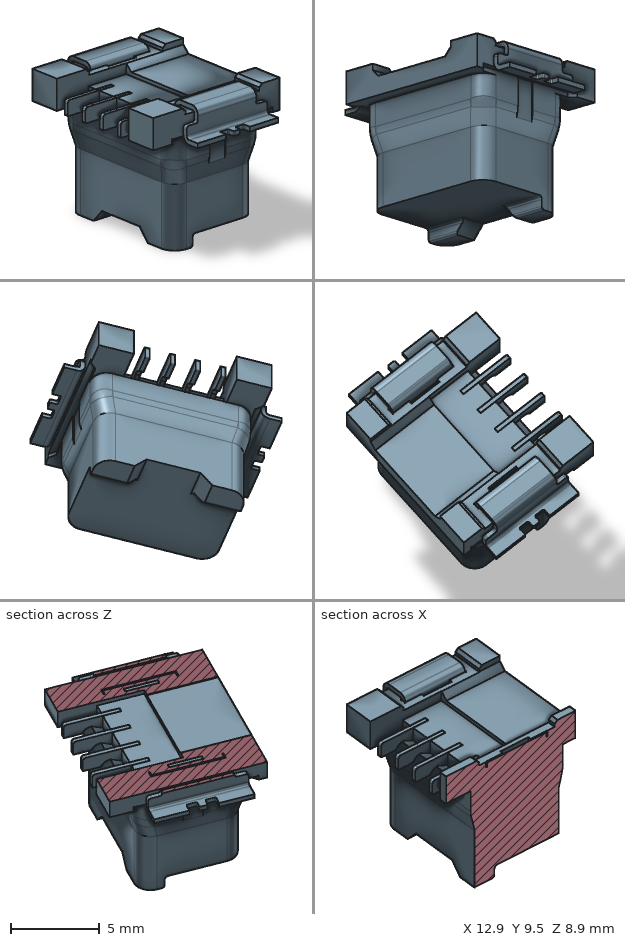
import cadquery as cq
import math


HOUSING_HALF_X = 5.13
HOUSING_FRONT_Y = -5.2
HOUSING_REAR_Y = 4.3
HOUSING_BOTTOM_Z = 0.05
HOUSING_TOP_Z = 2.0
BAY_HALF_X = 3.05
SADDLE_Z = 1.6
SADDLE_HALF_Y = 2.77
SADDLE_CHAMFER = 0.2
TROUGH_Z = 1.18
TROUGH_FLOOR_HALF_X = 2.61
TROUGH_FRONT_Y = 0.0
SHELF_Z = 0.94
SHELF_FRONT_Y = -2.84
RELIEF_TOP_Z = 0.34

SHROUD_HALF_X = 4.745
SHROUD_HALF_Y = 3.4
SHROUD_CORNER_R = 1.0
SHROUD_STEP = 0.3
TAPER_ANGLE = math.radians(13)
BEND_START_Z = -1.35
BEND_R = 2.0
SHROUD_BOTTOM_Z = -6.9
LIP_HEIGHT = 0.8
LIP_REAR_Y = -1.62
LIP_FILLET = 0.2
LIP_NOTCH_TOP_HALF_X = 1.59
LIP_NOTCH_BOTTOM_HALF_X = 2.3
SLOT_HALF_Y = 0.6
SLOT_DEPTH = 0.1

PIN_COUNT = 4
PIN_PITCH = 1.5
PIN_WIDTH = 0.27
PIN_REAR_Y = -1.74
PIN_TOP_Z = 0.96
PIN_NOSE_R = 0.2
PIN_TOE_R = 0.05
PIN_HEEL_Y = -4.09
PIN_ARCH_Z = 0.36
PIN_ARCH_REAR_Y = -3.5

TAB_THICKNESS = 0.3
TAB_TIP_X = 6.45
TAB_WALL_X = 5.52
TAB_INNER_X = 3.56
TAB_OUTER_R = 0.5
TAB_INNER_R = TAB_OUTER_R - TAB_THICKNESS
FOOT_HALF_Y = 3.03
HOOK_HALF_Y = 2.19
SHOULDER_Z = 1.06
SHOULDER_OUTER_R = 0.2
SHOULDER_INNER_R = 0.15
FOOT_NOTCH_DEPTH = 0.53
FOOT_NOTCH_HALF_Y = 0.89
NUB_SETBACK = 0.08
NUB_HALF_Y = 0.25
NUB_R = 0.08

POCKET_OUTER_X = 3.93
POCKET_HALF_Y = 2.24
POCKET_RELIEF_X = 3.35
POCKET_RELIEF_HALF_Y = 1.02
POCKET_FLOOR_Z = 1.2
LEG_EMBED = 0.1

PICK_MARGIN = 0.01


def box(x0, x1, y0, y1, z0, z1):
    return cq.Workplane("XY").box(x1 - x0, y1 - y0, z1 - z0, centered=False).translate((x0, y0, z0))


def both_sides(left):
    return left.union(left.mirror("YZ"))


def rounded_section(half_x, half_y):
    return cq.Sketch().rect(2 * half_x, 2 * half_y).vertices().fillet(SHROUD_CORNER_R)


def make_shroud():
    lower_half_x = SHROUD_HALF_X - SHROUD_STEP
    lower_half_y = SHROUD_HALF_Y - SHROUD_STEP
    knee_z = BEND_START_Z - BEND_R * math.tan(TAPER_ANGLE / 2)
    taper_bottom_z = knee_z - SHROUD_STEP / math.tan(TAPER_ANGLE)
    wide = rounded_section(SHROUD_HALF_X, SHROUD_HALF_Y)
    narrow = rounded_section(lower_half_x, lower_half_y)

    upper = cq.Workplane("XY", origin=(0, 0, knee_z)).placeSketch(wide).extrude(HOUSING_BOTTOM_Z - knee_z)
    taper = (
        cq.Workplane("XY", origin=(0, 0, taper_bottom_z))
        .placeSketch(narrow, wide.moved(cq.Location(cq.Vector(0, 0, knee_z - taper_bottom_z))))
        .loft(ruled=True)
    )
    lower = (
        cq.Workplane("XY", origin=(0, 0, SHROUD_BOTTOM_Z))
        .placeSketch(narrow)
        .extrude(taper_bottom_z - SHROUD_BOTTOM_Z)
    )
    knee_band = cq.selectors.BoxSelector(
        (-HOUSING_HALF_X, -HOUSING_HALF_X, knee_z - PICK_MARGIN),
        (HOUSING_HALF_X, HOUSING_HALF_X, knee_z + PICK_MARGIN),
    )
    return upper.union(taper).edges(knee_band).fillet(BEND_R).union(lower)


def cut_lip(shroud):
    """Shorten the shroud behind the front lip and notch the lip in the middle."""
    lip_root_z = SHROUD_BOTTOM_Z + LIP_HEIGHT
    behind_lip = (
        cq.Workplane("YZ")
        .moveTo(SHROUD_HALF_Y, lip_root_z)
        .lineTo(LIP_REAR_Y + LIP_FILLET, lip_root_z)
        .radiusArc((LIP_REAR_Y, lip_root_z - LIP_FILLET), -LIP_FILLET)
        .lineTo(LIP_REAR_Y, SHROUD_BOTTOM_Z + LIP_FILLET)
        .radiusArc((LIP_REAR_Y - LIP_FILLET, SHROUD_BOTTOM_Z), LIP_FILLET)
        .lineTo(SHROUD_HALF_Y, SHROUD_BOTTOM_Z)
        .close()
        .extrude(SHROUD_HALF_X, both=True)
    )
    notch = (
        cq.Workplane("XZ")
        .polyline([
            (-LIP_NOTCH_BOTTOM_HALF_X, SHROUD_BOTTOM_Z),
            (-LIP_NOTCH_TOP_HALF_X, lip_root_z),
            (LIP_NOTCH_TOP_HALF_X, lip_root_z),
            (LIP_NOTCH_BOTTOM_HALF_X, SHROUD_BOTTOM_Z),
        ])
        .close()
        .extrude(SHROUD_HALF_Y, both=True)
    )
    return shroud.cut(behind_lip).cut(notch)


def make_arm():
    """Left side arm: two full-height ends joined by a lower saddle."""
    saddle_top_half_y = SADDLE_HALF_Y + SADDLE_CHAMFER
    chamfer_z = HOUSING_TOP_Z - SADDLE_CHAMFER
    return (
        cq.Workplane("YZ", origin=(-HOUSING_HALF_X, 0, 0))
        .polyline([
            (HOUSING_FRONT_Y, HOUSING_BOTTOM_Z),
            (HOUSING_FRONT_Y, HOUSING_TOP_Z),
            (-saddle_top_half_y, HOUSING_TOP_Z),
            (-SADDLE_HALF_Y, chamfer_z),
            (-SADDLE_HALF_Y, SADDLE_Z),
            (SADDLE_HALF_Y, SADDLE_Z),
            (SADDLE_HALF_Y, chamfer_z),
            (saddle_top_half_y, HOUSING_TOP_Z),
            (HOUSING_REAR_Y, HOUSING_TOP_Z),
            (HOUSING_REAR_Y, HOUSING_BOTTOM_Z),
        ])
        .close()
        .extrude(HOUSING_HALF_X - BAY_HALF_X)
    )


def make_bay():
    """Trough with 45 degree sides at the rear, and the shelf carrying the pins."""
    trough_block = box(-BAY_HALF_X, BAY_HALF_X, TROUGH_FRONT_Y, HOUSING_REAR_Y, HOUSING_BOTTOM_Z, TROUGH_Z)
    shelf = box(-BAY_HALF_X, BAY_HALF_X, SHELF_FRONT_Y, TROUGH_FRONT_Y, HOUSING_BOTTOM_Z, SHELF_Z)
    slope_run = BAY_HALF_X - TROUGH_FLOOR_HALF_X
    slope = (
        cq.Workplane("XZ", origin=(0, HOUSING_REAR_Y, 0))
        .polyline([
            (-BAY_HALF_X, TROUGH_Z),
            (-TROUGH_FLOOR_HALF_X, TROUGH_Z),
            (-BAY_HALF_X, TROUGH_Z + slope_run),
        ])
        .close()
        .extrude(HOUSING_REAR_Y - TROUGH_FRONT_Y)
    )
    above_saddle = box(-BAY_HALF_X, 0, TROUGH_FRONT_Y, SADDLE_HALF_Y, SADDLE_Z, HOUSING_TOP_Z)
    return trough_block.union(shelf).union(both_sides(slope.cut(above_saddle)))


def side_undercut():
    """Left undercut with 45 degree ends, reaching in to the shroud wall."""
    depth = HOUSING_HALF_X - SHROUD_HALF_X
    return (
        cq.Workplane("XY", origin=(0, 0, HOUSING_BOTTOM_Z))
        .polyline([
            (-HOUSING_HALF_X, -SHROUD_HALF_Y - depth),
            (-HOUSING_HALF_X, SHROUD_HALF_Y + depth),
            (-SHROUD_HALF_X, SHROUD_HALF_Y),
            (-SHROUD_HALF_X, -SHROUD_HALF_Y),
        ])
        .close()
        .extrude(RELIEF_TOP_Z - HOUSING_BOTTOM_Z)
    )


def side_slot():
    """Left groove; it runs out on the taper of the shroud."""
    slot_x = SLOT_DEPTH - SHROUD_HALF_X
    return box(-SHROUD_HALF_X, slot_x, -SLOT_HALF_Y, SLOT_HALF_Y, SHROUD_BOTTOM_Z, RELIEF_TOP_Z)


def hook_pocket():
    main = box(-POCKET_OUTER_X, -TAB_INNER_X, -POCKET_HALF_Y, POCKET_HALF_Y, POCKET_FLOOR_Z, SADDLE_Z)
    relief = box(
        -TAB_INNER_X, -POCKET_RELIEF_X, -POCKET_RELIEF_HALF_Y, POCKET_RELIEF_HALF_Y, POCKET_FLOOR_Z, SADDLE_Z
    )
    return main.union(relief)


def make_housing():
    body = cut_lip(make_shroud()).union(both_sides(make_arm())).union(make_bay())
    for cutter in (side_undercut(), side_slot(), hook_pocket()):
        body = body.cut(both_sides(cutter))
    return body


def make_pin(x):
    """Flat pin: a bar over the shelf, dropping in front of the shroud to a foot at Z = 0."""
    profile = (
        cq.Workplane("YZ", origin=(x - PIN_WIDTH / 2, 0, 0))
        .moveTo(PIN_REAR_Y, PIN_TOP_Z)
        .lineTo(HOUSING_FRONT_Y + PIN_NOSE_R, PIN_TOP_Z)
        .radiusArc((HOUSING_FRONT_Y, PIN_TOP_Z - PIN_NOSE_R), -PIN_NOSE_R)
        .lineTo(HOUSING_FRONT_Y, PIN_TOE_R)
        .radiusArc((HOUSING_FRONT_Y + PIN_TOE_R, 0), -PIN_TOE_R)
        .lineTo(PIN_HEEL_Y, 0)
        .radiusArc((PIN_ARCH_REAR_Y, PIN_ARCH_Z), PIN_ARCH_REAR_Y - PIN_HEEL_Y)
        .lineTo(SHELF_FRONT_Y, HOUSING_BOTTOM_Z)
        .lineTo(PIN_REAR_Y, HOUSING_BOTTOM_Z)
        .close()
    )
    return profile.extrude(PIN_WIDTH)


def tab_strip():
    """Left tab bent from strip: flat foot, upright wall and hooked leg, at full foot width."""
    wall_inner_x = TAB_WALL_X - TAB_THICKNESS
    leg_outer_x = TAB_INNER_X + TAB_THICKNESS
    leg_end_z = POCKET_FLOOR_Z - LEG_EMBED
    under_hook_z = HOUSING_TOP_Z - TAB_THICKNESS
    return (
        cq.Workplane("XZ")
        .moveTo(-TAB_TIP_X, 0)
        .lineTo(-wall_inner_x - TAB_OUTER_R, 0)
        .radiusArc((-wall_inner_x, TAB_OUTER_R), -TAB_OUTER_R)
        .lineTo(-wall_inner_x, under_hook_z - TAB_INNER_R)
        .radiusArc((-wall_inner_x + TAB_INNER_R, under_hook_z), TAB_INNER_R)
        .lineTo(-leg_outer_x - TAB_INNER_R, under_hook_z)
        .radiusArc((-leg_outer_x, under_hook_z - TAB_INNER_R), TAB_INNER_R)
        .lineTo(-leg_outer_x, leg_end_z)
        .lineTo(-TAB_INNER_X, leg_end_z)
        .lineTo(-TAB_INNER_X, HOUSING_TOP_Z - TAB_OUTER_R)
        .radiusArc((-TAB_INNER_X - TAB_OUTER_R, HOUSING_TOP_Z), -TAB_OUTER_R)
        .lineTo(-TAB_WALL_X + TAB_OUTER_R, HOUSING_TOP_Z)
        .radiusArc((-TAB_WALL_X, HOUSING_TOP_Z - TAB_OUTER_R), -TAB_OUTER_R)
        .lineTo(-TAB_WALL_X, TAB_THICKNESS + TAB_INNER_R)
        .radiusArc((-TAB_WALL_X - TAB_INNER_R, TAB_THICKNESS), TAB_INNER_R)
        .lineTo(-TAB_TIP_X, TAB_THICKNESS)
        .close()
        .extrude(FOOT_HALF_Y, both=True)
    )


def tab_outline():
    """Silhouette of the tab along X: a wide foot with rounded shoulders below a narrower hook."""
    foot = box(-TAB_TIP_X, 0, -FOOT_HALF_Y, FOOT_HALF_Y, 0, SHOULDER_Z)
    hook = box(-TAB_TIP_X, 0, -HOOK_HALF_Y, HOOK_HALF_Y, 0, HOUSING_TOP_Z)
    foot = foot.edges("|X and >Z").fillet(SHOULDER_OUTER_R)
    inner_corners = cq.selectors.BoxSelector(
        (-TAB_TIP_X, -HOOK_HALF_Y - PICK_MARGIN, SHOULDER_Z - PICK_MARGIN),
        (0, HOOK_HALF_Y + PICK_MARGIN, SHOULDER_Z + PICK_MARGIN),
    )
    return foot.union(hook).edges("|X").edges(inner_corners).fillet(SHOULDER_INNER_R)


def foot_notch():
    """Notch in the tip of the left foot, with a small nub standing in it."""
    root_x = FOOT_NOTCH_DEPTH - TAB_TIP_X
    nub_x = NUB_SETBACK - TAB_TIP_X
    notch = box(-TAB_TIP_X, root_x, -FOOT_NOTCH_HALF_Y, FOOT_NOTCH_HALF_Y, 0, TAB_THICKNESS)
    nub = box(nub_x, root_x, -NUB_HALF_Y, NUB_HALF_Y, 0, TAB_THICKNESS)
    rounded = cq.selectors.BoxSelector(
        (nub_x - NUB_SETBACK / 2, -HOUSING_HALF_X, 0), (0, HOUSING_HALF_X, TAB_THICKNESS)
    )
    return notch.cut(nub).edges("|Z").edges(rounded).fillet(NUB_R)


def make_tab():
    return tab_strip().intersect(tab_outline()).cut(foot_notch())


result = make_housing().union(both_sides(make_tab()))
for index in range(PIN_COUNT):
    result = result.union(make_pin((index - (PIN_COUNT - 1) / 2) * PIN_PITCH))